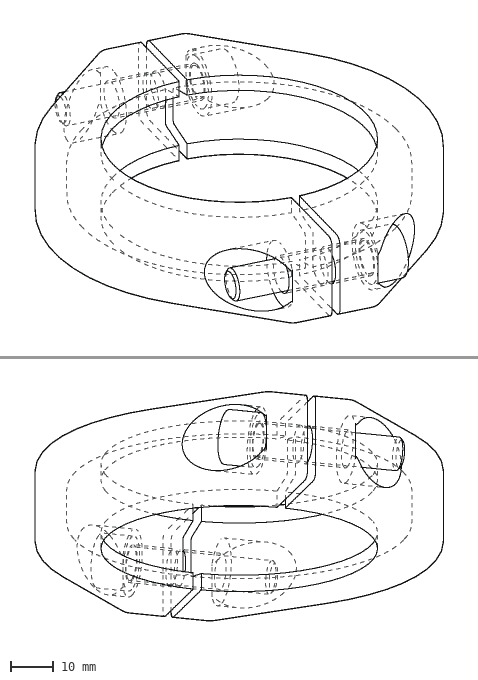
import cadquery as cq
import math

length = 112.0
ring_diameter = 96.0
bore_diameter = 65.0
thickness = 21.0
split_gap = 2.0
ear_depth = 11.0
corner_radius = 4.0
edge_radius = 2.0

lip_height = 4.0
groove_diameter = 81.1
groove_slope = 12.0
groove_root_radius = 1.0

bolt_offset = 49.0
shank_diameter = 8.0
shank_length = 35.0
tip_chamfer = 0.7
head_diameter = 13.0
head_height = 8.0
head_edge_radius = 0.3
clearance_diameter = 9.0
pocket_offset = 48.6
pocket_diameter = 16.0

half_length = length / 2
ring_radius = ring_diameter / 2
bore_radius = bore_diameter / 2
groove_radius = groove_diameter / 2

corner_distance = math.hypot(half_length, ear_depth)
tangent_angle = math.atan2(ear_depth, half_length) + math.acos(ring_radius / corner_distance)
tangent_x = ring_radius * math.cos(tangent_angle)
tangent_y = ring_radius * math.sin(tangent_angle)


def make_blank():
    """Solid outline of both halves with rounded ears and rims."""
    blank = (
        cq.Workplane("XY")
        .workplane(offset=-thickness / 2)
        .moveTo(half_length, -ear_depth)
        .lineTo(half_length, ear_depth)
        .lineTo(tangent_x, tangent_y)
        .threePointArc((0, ring_radius), (-tangent_x, tangent_y))
        .lineTo(-half_length, ear_depth)
        .lineTo(-half_length, -ear_depth)
        .lineTo(-tangent_x, -tangent_y)
        .threePointArc((0, -ring_radius), (tangent_x, -tangent_y))
        .close()
        .extrude(thickness)
    )
    for end in ("<X", ">X"):
        blank = blank.faces(end).edges("|Z").fillet(corner_radius)
    return blank.faces("|Z").edges().fillet(edge_radius)


def make_bore():
    """Through bore together with the tapered groove in its wall."""
    bore = cq.Workplane("XY").circle(bore_radius).extrude(thickness, both=True)
    mouth_z = thickness / 2 - lip_height
    root_z = mouth_z - (groove_radius - bore_radius) * math.tan(math.radians(groove_slope))
    groove = (
        cq.Workplane("XZ")
        .moveTo(0, -mouth_z)
        .lineTo(bore_radius, -mouth_z)
        .lineTo(groove_radius, -root_z)
        .lineTo(groove_radius, root_z)
        .lineTo(bore_radius, mouth_z)
        .lineTo(0, mouth_z)
        .close()
        .revolve(360, (0, 0, 0), (0, 1, 0))
    )
    root_edges = cq.selectors.RadiusNthSelector(-1)
    groove = groove.edges("%CIRCLE").edges(root_edges).fillet(groove_root_radius)
    return bore.union(groove)


def cylinder_along_y(x, y_start, diameter, depth):
    """Cylinder that runs from y_start towards +Y."""
    plane = cq.Plane(origin=(x, y_start, 0), xDir=(1, 0, 0), normal=(0, 1, 0))
    return cq.Workplane(plane).circle(diameter / 2).extrude(depth)


def make_rear_half():
    """Half on the +Y side: bored, with a bolt hole and pocket in each ear."""
    half_space = cq.Workplane("XY").box(length, ring_radius, thickness, centered=(True, False, True))
    half = make_blank().intersect(half_space.translate((0, split_gap / 2, 0))).cut(make_bore())
    for side in (-1, 1):
        half = half.cut(cylinder_along_y(side * bolt_offset, 0, clearance_diameter, ear_depth))
        half = half.cut(cylinder_along_y(side * pocket_offset, ear_depth, pocket_diameter, ring_radius))
    return half


def make_bolt(x):
    """Bolt with its head seated in the rear half and its tip pointing towards -Y."""
    tip_y = ear_depth - shank_length
    shank = cylinder_along_y(x, tip_y, shank_diameter, shank_length).faces("<Y").chamfer(tip_chamfer)
    head = cylinder_along_y(x, ear_depth, head_diameter, head_height)
    head = head.faces(">Y").edges().fillet(head_edge_radius)
    return shank.union(head)


rear_half = make_rear_half()
front_half = rear_half.mirror("XZ")
bolts = [make_bolt(side * bolt_offset) for side in (-1, 1)]

result = cq.Compound.makeCompound([rear_half.val(), front_half.val(), *[bolt.val() for bolt in bolts]])